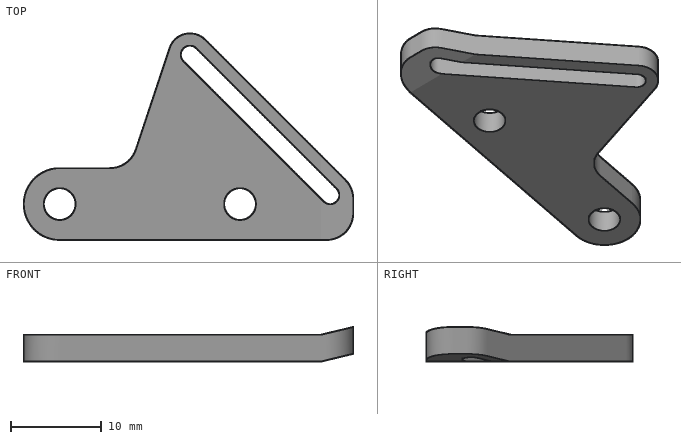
import cadquery as cq
import math

thickness = 3.0
heel_radius = 4.0
hole_diameter = 3.5
hole_spacing = 20.0
right_edge_x = 32.57
right_corner_radius = 3.0
inner_corner_radius = 3.0
left_flank_angle = 71.6

slot_angle = -45.0
slot_length = 22.0
slot_radius = 1.0
slot_wall = 1.385
slot_low_end = (30.0, 1.0)

bend_x = 29.0
tip_rise = 0.86

slot_direction = (math.cos(math.radians(slot_angle)), math.sin(math.radians(slot_angle)))
slot_high_end = (
    slot_low_end[0] - slot_length * slot_direction[0],
    slot_low_end[1] - slot_length * slot_direction[1],
)
apex_radius = slot_radius + slot_wall
overall_height = thickness + tip_rise
profile_half_depth = slot_high_end[1] + 2 * apex_radius


def point_on_circle(center, radius, angle):
    """Point on a circle at an angle in degrees from +X."""
    turn = math.radians(angle)
    return (center[0] + radius * math.cos(turn), center[1] + radius * math.sin(turn))


def make_outline():
    """Extruded plan shape, tall enough to contain the raised tip."""
    diagonal_normal = slot_angle + 90
    flank_normal = left_flank_angle + 90
    apex_start = point_on_circle(slot_high_end, apex_radius, diagonal_normal)
    apex_middle = point_on_circle(slot_high_end, apex_radius, (diagonal_normal + flank_normal) / 2)
    apex_end = point_on_circle(slot_high_end, apex_radius, flank_normal)

    diagonal_slope = math.tan(math.radians(slot_angle))
    right_upper_corner = (right_edge_x, apex_start[1] + (right_edge_x - apex_start[0]) * diagonal_slope)
    right_lower_corner = (right_edge_x, -heel_radius)
    flank_drop = apex_end[1] - heel_radius
    inner_corner = (apex_end[0] - flank_drop / math.tan(math.radians(left_flank_angle)), heel_radius)

    plate = (
        cq.Workplane("XY")
        .moveTo(0, -heel_radius)
        .lineTo(*right_lower_corner)
        .lineTo(*right_upper_corner)
        .lineTo(*apex_start)
        .threePointArc(apex_middle, apex_end)
        .lineTo(*inner_corner)
        .lineTo(0, heel_radius)
        .threePointArc((-heel_radius, 0), (0, -heel_radius))
        .close()
        .extrude(overall_height)
    )
    plate = round_corner(plate, right_lower_corner, right_corner_radius)
    plate = round_corner(plate, right_upper_corner, right_corner_radius)
    return round_corner(plate, inner_corner, inner_corner_radius)


def round_corner(plate, corner, radius):
    """Fillet the vertical edge standing at a plan corner."""
    edge_middle = (corner[0], corner[1], overall_height / 2)
    return plate.edges(cq.selectors.NearestToPointSelector(edge_middle)).fillet(radius)


def make_side_profile():
    """Side profile: level plate, then a tip sloping up at constant vertical thickness."""
    return (
        cq.Workplane("XZ")
        .moveTo(-heel_radius, 0)
        .lineTo(bend_x, 0)
        .lineTo(right_edge_x, tip_rise)
        .lineTo(right_edge_x, overall_height)
        .lineTo(bend_x, thickness)
        .lineTo(-heel_radius, thickness)
        .close()
        .extrude(profile_half_depth, both=True)
    )


def make_holes():
    """Cylinders for the two round through holes."""
    return (
        cq.Workplane("XY")
        .pushPoints([(0, 0), (hole_spacing, 0)])
        .circle(hole_diameter / 2)
        .extrude(overall_height)
    )


def make_slot():
    """Round-ended cutter for the diagonal through slot."""
    slot_middle = (
        (slot_low_end[0] + slot_high_end[0]) / 2,
        (slot_low_end[1] + slot_high_end[1]) / 2,
    )
    return (
        cq.Workplane("XY")
        .center(*slot_middle)
        .slot2D(slot_length + 2 * slot_radius, 2 * slot_radius, slot_angle)
        .extrude(overall_height)
    )


result = make_outline().intersect(make_side_profile()).cut(make_holes()).cut(make_slot())